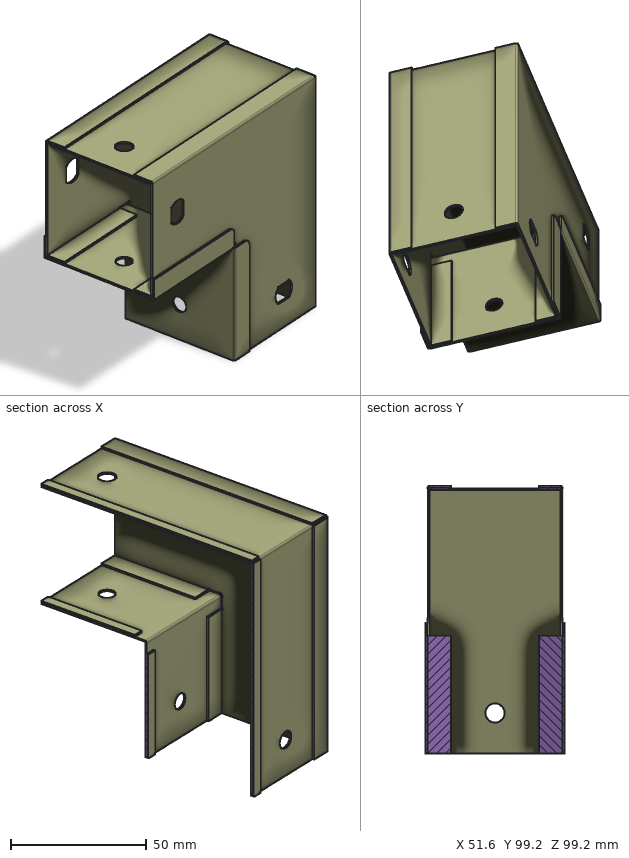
import cadquery as cq
import math


LENGTH = 99.2
WIDTH = 51.6
SHEET = 0.8
PLATE_HEIGHT = 50.0
PLATE_FLANGE = 8.7
PLATE_FLANGE_END = 43.7
RELIEF_GAP = 0.3
RELIEF_RADIUS = 1.0
CORNER_GAP = 0.1
COVER_CORNER_RADIUS = 2.0
COVER_FLANGE = 9.1
FLANGE_CORNER_RADIUS = 2.5
HOLE_FROM_END = 15.1
INNER_HOLE_DIAMETER = 6.4
OUTER_HOLE_DIAMETER = 7.0
SLOT_HEIGHT = 79.4
SLOT_LENGTH = 9.9
SLOT_WIDTH = 7.4

PLATE_FACE = WIDTH / 2 - SHEET
PLATE_INSIDE = PLATE_FACE - SHEET
PLATE_BOTTOM = LENGTH - PLATE_HEIGHT
ARM_MIDDLE = LENGTH - PLATE_HEIGHT / 2
WEB_LOW = PLATE_BOTTOM + SHEET
WEB_HIGH = LENGTH - SHEET
RELIEF_END = WEB_LOW + RELIEF_GAP
OUTER_COVER_FACE = LENGTH - SHEET
INNER_COVER_FACE = PLATE_BOTTOM - SHEET


def across_diagonal(shape):
    """Mirror a shape in the plane Y = Z, taking the arm along Y to the arm along Z."""
    return shape.mirror(cq.Vector(0, 1, -1))


def on_both_arms(shape):
    return shape.union(across_diagonal(shape))


def folded_strip(corner_x, corner_z, sign_x, sign_z, flange_x, web_z, length):
    """Fold with two straight legs, running along +Y from the open end.

    The legs leave the outer corner in the directions sign_x and sign_z; one ends at
    flange_x, the other at web_z.
    """
    inside_x = corner_x + sign_x * SHEET
    inside_z = corner_z + sign_z * SHEET
    arc_reach = SHEET * math.sqrt(0.5)
    arc_middle = (inside_x - sign_x * arc_reach, inside_z - sign_z * arc_reach)
    return (
        cq.Workplane("XZ")
        .moveTo(flange_x, corner_z)
        .lineTo(inside_x, corner_z)
        .threePointArc(arc_middle, (corner_x, inside_z))
        .lineTo(corner_x, web_z)
        .lineTo(inside_x, web_z)
        .lineTo(inside_x, inside_z)
        .lineTo(flange_x, inside_z)
        .close()
        .extrude(-length)
    )


def elbow_sheet(outer_face, half_width):
    """L-bent sheet whose far faces lie at outer_face, reaching down to both open ends."""
    inner_face = outer_face - SHEET
    sheet = (
        cq.Workplane("YZ", origin=(-half_width, 0, 0))
        .polyline([
            (0, inner_face),
            (0, outer_face),
            (outer_face, outer_face),
            (outer_face, 0),
            (inner_face, 0),
            (inner_face, inner_face),
        ])
        .close()
        .extrude(2 * half_width)
    )
    convex_edge = cq.NearestToPointSelector((0, outer_face, outer_face))
    return sheet.edges(convex_edge).fillet(SHEET)


def upright_hole(diameter):
    """Drill along Z through the arm that runs along Y."""
    return (
        cq.Workplane("XY", origin=(0, HOLE_FROM_END, 0))
        .circle(diameter / 2)
        .extrude(LENGTH)
    )


def slot_cutter():
    """Round slot with two flat sides, cut along X through the arm that runs along Y."""
    round_bar = (
        cq.Workplane("YZ", origin=(-WIDTH / 2, HOLE_FROM_END, SLOT_HEIGHT))
        .circle(SLOT_LENGTH / 2)
        .extrude(WIDTH)
    )
    flats = (
        cq.Workplane("XY", origin=(0, HOLE_FROM_END, SLOT_HEIGHT))
        .box(WIDTH, SLOT_WIDTH, SLOT_LENGTH)
    )
    return round_bar.intersect(flats)


def corner_relief():
    """Opening at the elbow's inner corner, where the inner side-plate flanges stop."""
    size = RELIEF_END - PLATE_FLANGE_END
    block = (
        cq.Workplane("XY", origin=(-WIDTH / 2, PLATE_FLANGE_END, PLATE_FLANGE_END))
        .box(WIDTH, size, size, centered=False)
    )
    return block.edges(">Y and >Z").fillet(RELIEF_RADIUS)


def side_plate(side):
    """L-shaped web with a flange folded inward along each long edge; side is -1 or 1."""
    plate = (
        cq.Workplane("YZ", origin=(-PLATE_FACE, 0, 0))
        .polyline([
            (0, WEB_LOW),
            (0, WEB_HIGH),
            (WEB_HIGH, WEB_HIGH),
            (WEB_HIGH, 0),
            (WEB_LOW, 0),
            (WEB_LOW, WEB_LOW),
        ])
        .close()
        .extrude(SHEET)
    )
    flange_x = PLATE_FLANGE - PLATE_FACE
    outer_run = WEB_HIGH - CORNER_GAP
    outer_flange = folded_strip(-PLATE_FACE, LENGTH, 1, -1, flange_x, ARM_MIDDLE, outer_run)
    inner_flange = folded_strip(-PLATE_FACE, PLATE_BOTTOM, 1, 1, flange_x, ARM_MIDDLE, PLATE_FLANGE_END)
    plate = plate.union(on_both_arms(outer_flange)).union(on_both_arms(inner_flange))
    plate = plate.cut(corner_relief()).cut(on_both_arms(slot_cutter()))
    return plate if side < 0 else plate.mirror("YZ")


def make_outer_cover():
    """Plain bent sheet that closes the two far faces of the elbow."""
    cover = elbow_sheet(OUTER_COVER_FACE, PLATE_INSIDE)
    cover = cover.faces("<Y").edges("|Z").fillet(COVER_CORNER_RADIUS)
    cover = cover.faces("<Z").edges("|Y").fillet(COVER_CORNER_RADIUS)
    return cover.cut(on_both_arms(upright_hole(OUTER_HOLE_DIAMETER)))


def make_inner_cover():
    """Bent sheet in the elbow's inner corner, with flanges lapping over the side plates."""
    half_panel = WIDTH / 2 - SHEET
    cover = elbow_sheet(PLATE_BOTTOM, half_panel)
    flange_top = INNER_COVER_FACE + COVER_FLANGE
    for side in (-1, 1):
        flange = folded_strip(
            side * WIDTH / 2, INNER_COVER_FACE, -side, 1, 0, flange_top, INNER_COVER_FACE
        )
        flange = flange.edges("|X and >Y and >Z").fillet(FLANGE_CORNER_RADIUS)
        cover = cover.union(on_both_arms(flange))
    return cover.cut(on_both_arms(upright_hole(INNER_HOLE_DIAMETER)))


side_plates = [side_plate(side) for side in (-1, 1)]
outer_cover = make_outer_cover()
inner_cover = make_inner_cover()

result = cq.Compound.makeCompound([
    *[plate.val() for plate in side_plates],
    outer_cover.val(),
    inner_cover.val(),
])